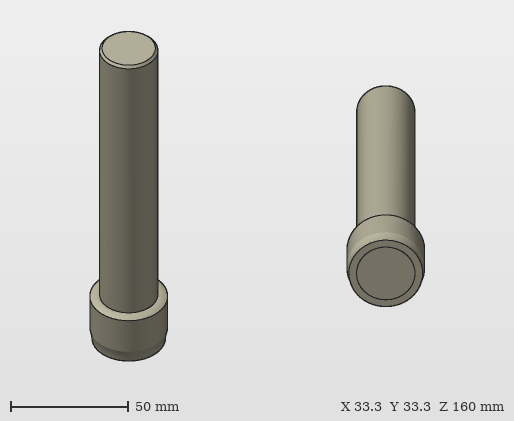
import cadquery as cq

total_length = 160.0
rod_diameter = 25.0
rod_chamfer = 1.1

collar_diameter = 33.3
collar_height = 24.0
collar_bottom_diameter = 31.5
lead_in_height = 5.8
crown_drop = 1.0
crown_inner_diameter = 27.5
crown_bulge = 0.2

rod_radius = rod_diameter / 2
collar_radius = collar_diameter / 2
collar_bottom_radius = collar_bottom_diameter / 2
crown_inner_radius = crown_inner_diameter / 2


def make_rod():
    """Plain cylindrical rod with a chamfered top end."""
    rod = cq.Workplane("XY").circle(rod_radius).extrude(total_length)
    return rod.faces(">Z").chamfer(rod_chamfer)


def make_collar():
    """Ring around the foot of the rod, with a crowned top and a concave lead-in."""
    rim_height = collar_height - crown_drop
    crown_middle = (
        (crown_inner_radius + collar_radius) / 2,
        (collar_height + rim_height) / 2 + crown_bulge,
    )
    lead_in_flare = collar_radius - collar_bottom_radius
    lead_in_middle = (collar_bottom_radius + lead_in_flare / 4, lead_in_height / 2)
    profile = (
        cq.Workplane("YZ")
        .moveTo(rod_radius, 0)
        .lineTo(collar_bottom_radius, 0)
        .threePointArc(lead_in_middle, (collar_radius, lead_in_height))
        .lineTo(collar_radius, rim_height)
        .threePointArc(crown_middle, (crown_inner_radius, collar_height))
        .lineTo(rod_radius, collar_height)
        .close()
    )
    return profile.revolve(360, (0, 0), (0, 1))


rod = make_rod()
collar = make_collar()

result = cq.Compound.makeCompound([rod.val(), collar.val()])